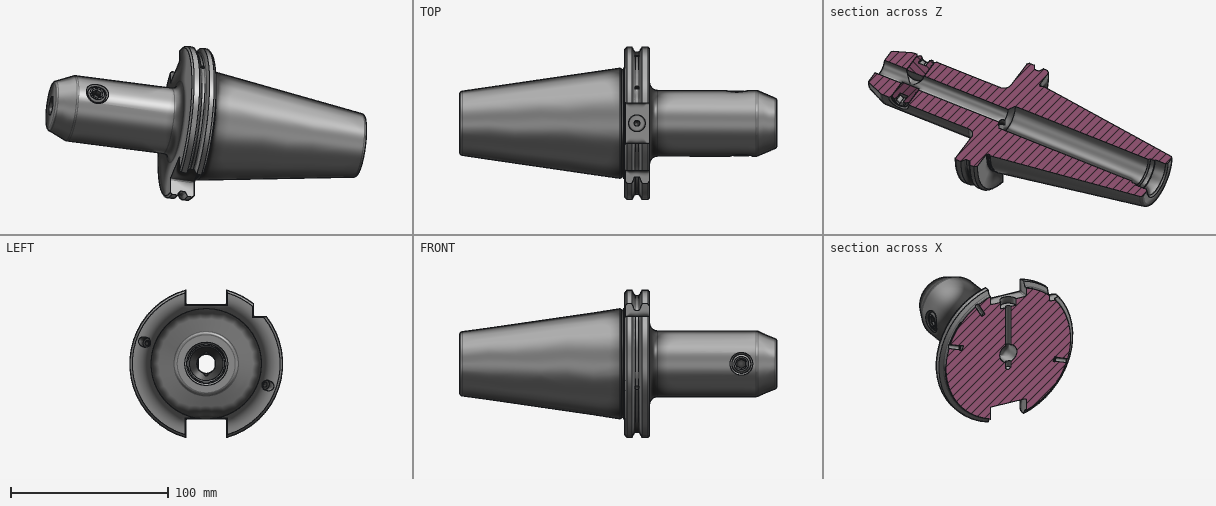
import cadquery as cq
import math

TOTAL_LENGTH = 201.8
GAUGE_X = 102.0
FLANGE_FRONT_X = 105.0
FLANGE_BACK_X = 120.8
GROOVE_X = 112.8
NOSE_CONE_X = 189.0
RELIEF_START_X = 103.0
RELIEF_END_X = 104.1

GAUGE_RADIUS = 35.1
RELIEF_RADIUS = 34.3
TAPER_RATIO = 7 / 24
FLANGE_RADIUS = 48.6
SHANK_RADIUS = 21.0
NOSE_RADIUS = 15.5

TAPER_END_FILLET = 2.0
FLANGE_FRONT_CHAMFER = 1.6
FLANGE_BACK_CHAMFER = 1.2
SHANK_ROOT_FILLET = 5.0
NOSE_CONE_FILLET = 2.8
NOSE_END_FILLET = 1.8

GROOVE_MOUTH_HALF_WIDTH = 3.2
GROOVE_FLOOR_HALF_WIDTH = 1.51
GROOVE_FLOOR_RADIUS = 45.4
GROOVE_FILLET = 1.0

MOUTH_RADIUS = 13.7
PILOT_RADIUS = 12.5
PILOT_END_X = 8.7
COLLAR_RADIUS = 11.7
COLLAR_END_X = 11.7
THREAD_RADIUS = 10.7
SHANK_BORE_RADIUS = 6.0
BORE_CONE_END_X = 112.0
DRILL_POINT_ANGLE = 118.0

SLOT_WIDTH = 25.8
UPPER_SLOT_FLOOR_Z = 37.7
LOWER_SLOT_FLOOR_Z = -35.1
NOTCH_CORNER = 30.0
CORNER_FILLET = 0.8
CUTOUT_EDGE_CHAMFER = 0.6

RECESS_RADIUS = 5.35
RECESS_DEPTH = 4.6
CROSS_HOLE_RADIUS = 1.8
CROSS_HOLE_BOTTOM_Z = -10.0

FACE_HOLE_RADIUS = 3.2
FACE_HOLE_CIRCLE = 41.5
FACE_HOLE_SLANT = 35.0
FACE_HOLE_DEPTH = 3.2
FACE_HOLE_PILOT_RADIUS = 1.6
FACE_HOLE_PILOT_DEPTH = 10.0
FACE_HOLE_ANGLES = (19.5, 199.5)
RADIAL_HOLE_RADIUS = 1.2
RADIAL_HOLE_BOTTOM = 36.3
MARK_HOLE_ANGLE = 60.0

SCREW_PLACES = ((179.2, -1, 20.8), (176.3, 1, 20.4))
SCREW_RADIUS = 6.0
SCREW_LENGTH = 15.3
SCREW_CHAMFER = 1.5
SOCKET_FLATS = 5.2
SOCKET_MOUTH_RADIUS = 3.6
SOCKET_DEPTH = 6.0
SCREW_HOLE_CHAMFER = 1.2


def half_point_tangent():
    return math.tan(math.radians(DRILL_POINT_ANGLE / 2))


def revolve(points):
    """Turn a closed outline of (x, radius) points about the X axis."""
    return cq.Workplane("XY").polyline(points).close().revolve(360, (0, 0, 0), (1, 0, 0))


def fillet_ring(body, x, radius, size):
    """Round the circular edge of the given radius that lies at station x."""
    tolerance = 0.02

    def is_ring(edge):
        box = edge.BoundingBox()
        return max(abs(box.xmin - x), abs(box.xmax - x), abs(box.ymax - radius)) < tolerance

    rings = [edge for edge in body.edges("%CIRCLE").vals() if is_ring(edge)]
    return body.newObject(rings).fillet(size)


def turned_body():
    taper_end_radius = GAUGE_RADIUS - GAUGE_X * TAPER_RATIO / 2
    body = revolve([
        (0, 0),
        (0, taper_end_radius),
        (GAUGE_X, GAUGE_RADIUS),
        (RELIEF_START_X, RELIEF_RADIUS),
        (RELIEF_END_X, RELIEF_RADIUS),
        (RELIEF_END_X, GAUGE_RADIUS),
        (FLANGE_FRONT_X, GAUGE_RADIUS),
        (FLANGE_FRONT_X, FLANGE_RADIUS - FLANGE_FRONT_CHAMFER),
        (FLANGE_FRONT_X + FLANGE_FRONT_CHAMFER, FLANGE_RADIUS),
        (GROOVE_X - GROOVE_MOUTH_HALF_WIDTH, FLANGE_RADIUS),
        (GROOVE_X - GROOVE_FLOOR_HALF_WIDTH, GROOVE_FLOOR_RADIUS),
        (GROOVE_X + GROOVE_FLOOR_HALF_WIDTH, GROOVE_FLOOR_RADIUS),
        (GROOVE_X + GROOVE_MOUTH_HALF_WIDTH, FLANGE_RADIUS),
        (FLANGE_BACK_X - FLANGE_BACK_CHAMFER, FLANGE_RADIUS),
        (FLANGE_BACK_X, FLANGE_RADIUS - FLANGE_BACK_CHAMFER),
        (FLANGE_BACK_X, SHANK_RADIUS),
        (NOSE_CONE_X, SHANK_RADIUS),
        (TOTAL_LENGTH, NOSE_RADIUS),
        (TOTAL_LENGTH, 0),
    ])
    body = fillet_ring(body, 0, taper_end_radius, TAPER_END_FILLET)
    for side in (-1, 1):
        floor_edge_x = GROOVE_X + side * GROOVE_FLOOR_HALF_WIDTH
        body = fillet_ring(body, floor_edge_x, GROOVE_FLOOR_RADIUS, GROOVE_FILLET)
    body = fillet_ring(body, FLANGE_BACK_X, SHANK_RADIUS, SHANK_ROOT_FILLET)
    body = fillet_ring(body, NOSE_CONE_X, SHANK_RADIUS, NOSE_CONE_FILLET)
    return fillet_ring(body, TOTAL_LENGTH, NOSE_RADIUS, NOSE_END_FILLET)


def bore():
    cone_length = (THREAD_RADIUS - SHANK_BORE_RADIUS) / half_point_tangent()
    return revolve([
        (0, 0),
        (0, MOUTH_RADIUS),
        (MOUTH_RADIUS - PILOT_RADIUS, PILOT_RADIUS),
        (PILOT_END_X, PILOT_RADIUS),
        (PILOT_END_X, COLLAR_RADIUS),
        (COLLAR_END_X, COLLAR_RADIUS),
        (COLLAR_END_X + COLLAR_RADIUS - THREAD_RADIUS, THREAD_RADIUS),
        (BORE_CONE_END_X - cone_length, THREAD_RADIUS),
        (BORE_CONE_END_X, SHANK_BORE_RADIUS),
        (TOTAL_LENGTH, SHANK_BORE_RADIUS),
        (TOTAL_LENGTH, 0),
    ])


def flange_block(y_min, y_max, z_min, z_max):
    """Box spanning the flange width, with rounded corners and a flared front end."""
    center = (FLANGE_FRONT_X, (y_min + y_max) / 2, (z_min + z_max) / 2)
    front = cq.Workplane("YZ", origin=center)
    y_size = y_max - y_min
    z_size = z_max - z_min
    block = front.rect(y_size, z_size).extrude(FLANGE_BACK_X - FLANGE_FRONT_X)
    block = block.edges("|X").fillet(CORNER_FILLET)
    flare = front.rect(y_size + 2 * CUTOUT_EDGE_CHAMFER, z_size + 2 * CUTOUT_EDGE_CHAMFER)
    return block.union(flare.extrude(CUTOUT_EDGE_CHAMFER, taper=45))


def flange_cutouts():
    margin = 2.0
    outside = FLANGE_RADIUS + margin
    half_width = SLOT_WIDTH / 2
    upper_slot = flange_block(-half_width, half_width, UPPER_SLOT_FLOOR_Z, outside)
    lower_slot = flange_block(-half_width, half_width, -outside, LOWER_SLOT_FLOOR_Z)
    notch = flange_block(-outside, -NOTCH_CORNER, NOTCH_CORNER, outside)
    return [upper_slot, lower_slot, notch]


def slot_recess():
    """Round recess and the cross hole below it, ending in a drill point."""
    floor_z = UPPER_SLOT_FLOOR_Z - RECESS_DEPTH
    point_z = CROSS_HOLE_BOTTOM_Z - CROSS_HOLE_RADIUS / half_point_tangent()
    return (
        cq.Workplane("XZ", origin=(GROOVE_X, 0, 0))
        .moveTo(0, UPPER_SLOT_FLOOR_Z)
        .lineTo(RECESS_RADIUS, UPPER_SLOT_FLOOR_Z)
        .lineTo(RECESS_RADIUS, floor_z)
        .lineTo(CROSS_HOLE_RADIUS, floor_z)
        .lineTo(CROSS_HOLE_RADIUS, CROSS_HOLE_BOTTOM_Z)
        .lineTo(0, point_z)
        .close()
        .revolve(360, (0, 0, 0), (0, 1, 0))
    )


def around_axis(shape, angle):
    return shape.rotate((0, 0, 0), (1, 0, 0), angle)


def face_hole(angle):
    """Stepped blind hole that runs into the flange face and slants towards the axis."""
    slant = math.radians(FACE_HOLE_SLANT)
    direction = cq.Vector(math.cos(slant), -math.sin(slant), 0)
    mouth = cq.Vector(FLANGE_FRONT_X, FACE_HOLE_CIRCLE, 0)
    lead_in = FACE_HOLE_RADIUS * math.tan(slant)
    hole = cq.Solid.makeCylinder(
        FACE_HOLE_RADIUS, FACE_HOLE_DEPTH + lead_in, mouth - direction * lead_in, direction
    )
    pilot = cq.Solid.makeCylinder(FACE_HOLE_PILOT_RADIUS, FACE_HOLE_PILOT_DEPTH, mouth, direction)
    return around_axis(hole.fuse(pilot), angle)


def radial_hole(angle):
    """Small blind hole from the floor of the vee groove towards the axis."""
    depth = FLANGE_RADIUS - RADIAL_HOLE_BOTTOM
    mouth = cq.Vector(GROOVE_X, FLANGE_RADIUS, 0)
    hole = cq.Solid.makeCylinder(RADIAL_HOLE_RADIUS, depth, mouth, cq.Vector(0, -1, 0))
    return around_axis(hole, angle)


def screw_plane(x, side, distance):
    """Plane across a screw axis, facing away from the holder axis."""
    return cq.Workplane(cq.Plane((x, side * distance, 0), xDir=(1, 0, 0), normal=(0, side, 0)))


def screw_hole(x, side):
    """Hole from the bore out through the shank surface."""
    return screw_plane(x, side, 0).circle(SCREW_RADIUS).extrude(SHANK_RADIUS)


def chamfer_screw_hole(holder, x, side):
    """Bevel the rim where the screw hole leaves the round shank."""
    clearance = 0.2
    reach = SCREW_RADIUS + clearance
    rim_box = cq.selectors.BoxSelector(
        (x - reach, side * SHANK_RADIUS / 2, -reach),
        (x + reach, side * (SHANK_RADIUS + clearance), reach),
        boundingbox=True,
    )
    return holder.edges(rim_box).chamfer(SCREW_HOLE_CHAMFER)


def make_holder():
    holder = turned_body().cut(bore()).cut(slot_recess())
    for cutout in flange_cutouts():
        holder = holder.cut(cutout)
    for angle in FACE_HOLE_ANGLES:
        holder = holder.cut(cq.Workplane(face_hole(angle)))
    for angle in (*FACE_HOLE_ANGLES, MARK_HOLE_ANGLE):
        holder = holder.cut(cq.Workplane(radial_hole(angle)))
    for x, side, _ in SCREW_PLACES:
        holder = holder.cut(screw_hole(x, side))
        holder = chamfer_screw_hole(holder, x, side)
    return holder


def make_screw(x, side, top):
    """Headless clamping screw with a hexagon socket in its outer end."""
    screw = screw_plane(x, side, top - SCREW_LENGTH).circle(SCREW_RADIUS).extrude(SCREW_LENGTH)
    screw = screw.faces(">Y" if side > 0 else "<Y").chamfer(SCREW_CHAMFER)
    flats_radius = SOCKET_FLATS / 2
    corner_distance = SOCKET_FLATS / math.cos(math.pi / 6)
    socket = (
        screw_plane(x, side, top - SOCKET_DEPTH)
        .transformed(rotate=(0, 0, 90))
        .polygon(6, corner_distance)
        .extrude(SOCKET_DEPTH)
    )
    countersink_depth = SOCKET_MOUTH_RADIUS - flats_radius
    countersink = (
        screw_plane(x, side, top - countersink_depth)
        .circle(flats_radius)
        .workplane(offset=countersink_depth)
        .circle(SOCKET_MOUTH_RADIUS)
        .loft(ruled=True)
    )
    return screw.cut(socket).cut(countersink)


holder = make_holder()
screws = [make_screw(x, side, top) for x, side, top in SCREW_PLACES]
result = cq.Compound.makeCompound([holder.val(), *[screw.val() for screw in screws]])